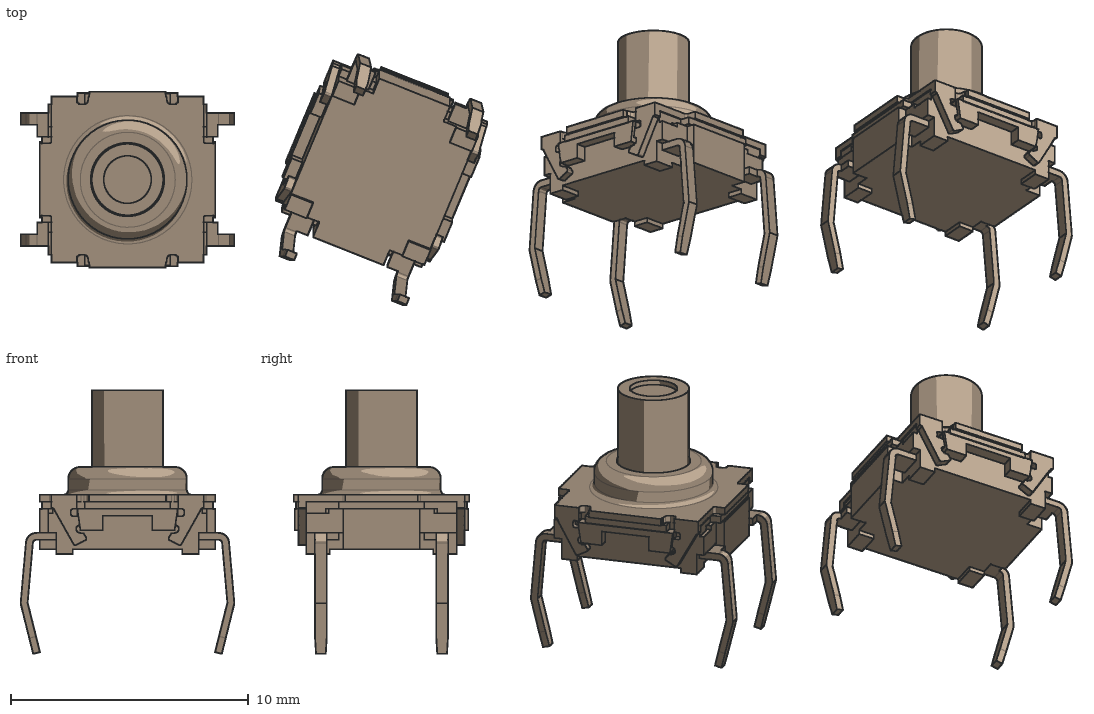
import cadquery as cq
import math


foot_bottom = -0.2
tip_bottom = -4.4
pin_bottom = 0.4
pin_top = 0.7
corner_ledge = 1.52
housing_top = 1.7
frame_top = 2.0
cover_top = 2.3
dome_top = 3.47
stem_top = 6.7

wall_x = 3.33
wall_y = 3.17
undercut_x = 3.0
neck_x = 3.15
side_reach = 3.7
side_half_width = 1.6
ledge_start_y = 2.22
ledge_gap = 0.13
ledge_gap_depth = 0.2
foot_length_x = 0.7
foot_length_y = 1.0

panel_y = 3.65
panel_bottom = 0.8
panel_top_half = 2.11
panel_bottom_half = 1.98
panel_slot_half = 1.05
panel_slot_top = 1.42

frame_reach = 3.6
frame_half_width = 1.8

cover_half = 3.7
cover_corner_x = 3.2
cover_corner_y = 3.5
cover_x_tab_half = 1.52
cover_y_tab_half = 1.6
tab_corner_radius = 0.1
selector_margin = 0.01
relief_outer_x = 2.13
relief_inner_x = 1.66
relief_radius = 0.17

clip_shoulder_z = 1.75
clip_shoulder = (3.1, 1.7)
clip_toe = (2.23, 0.15)
clip_tip = (1.69, 0.43)
clip_hook = (1.85, 0.67)
clip_edge_radius = 0.08
notch_depth = 0.27
notch_height = 0.3
hook_notch_radius = 0.16
hook_notch_x = 2.0
hook_notch_z = 0.86

dome_radius = 2.5
dome_flare = 0.2
dome_round = 0.5
stem_radius = 1.5
stem_gap_radius = 1.55
stem_gap_depth = 0.5
stem_recess_radius = 1.0
stem_recess_depth = 0.2

pin_thickness = pin_top - pin_bottom
pin_half_span = 4.5
knee_z = -2.27
upper_lean = math.radians(5)
lower_lean = math.radians(14)
pin_inner_y = 2.3
pin_outer_y = 2.8
pin_middle_y = (pin_inner_y + pin_outer_y) / 2
pin_root_inner_y = 1.8
pin_root_x = 3.8
bend_outer_radius = 0.45
bend_inner_radius = bend_outer_radius - pin_thickness
tip_length = 0.7
tip_side_taper = 0.04


def box(x0, x1, y0, y1, z0, z1):
    """Axis-aligned block between two corners."""
    return cq.Workplane("XY").box(x1 - x0, y1 - y0, z1 - z0, centered=False).translate((x0, y0, z0))


def centred_box(half_x, half_y, z0, z1):
    """Block centred on the Z axis."""
    return box(-half_x, half_x, -half_y, half_y, z0, z1)


def prism_y(points, y0, y1):
    """XZ outline extruded from y0 to y1."""
    return cq.Workplane("XZ", origin=(0, y0, 0)).polyline(points).close().extrude(y0 - y1)


def four_corners(shape):
    """Shape from the +X +Y corner repeated in all four corners."""
    pair = shape.union(shape.mirror("YZ"))
    return pair.union(pair.mirror("XZ"))


def make_corner_cut():
    """Material missing from the housing in one corner."""
    undercut = box(undercut_x, side_reach, side_half_width, wall_y, 0, pin_top)
    ledge = box(neck_x, wall_x, ledge_start_y, wall_y, corner_ledge, housing_top)
    gap = box(neck_x - ledge_gap_depth, neck_x, ledge_start_y, ledge_start_y + ledge_gap,
              corner_ledge, housing_top)
    return undercut.union(ledge).union(gap)


def make_panel():
    """Raised latch panel on the +Y wall, with a slot open at its lower edge."""
    right_half = [
        (panel_top_half, housing_top),
        (panel_bottom_half, panel_bottom),
        (panel_slot_half, panel_bottom),
        (panel_slot_half, panel_slot_top),
    ]
    left_half = [(-x, z) for x, z in reversed(right_half)]
    return prism_y(right_half + left_half, wall_y, panel_y)


def make_housing():
    body = centred_box(wall_x, wall_y, 0, housing_top)
    body = body.union(centred_box(side_reach, side_half_width, 0, housing_top))
    body = body.cut(four_corners(make_corner_cut()))
    foot = box(undercut_x - foot_length_x, undercut_x, wall_y - foot_length_y, wall_y,
              foot_bottom, pin_bottom)
    panel = make_panel()
    return body.union(four_corners(foot)).union(panel).union(panel.mirror("XZ"))


def make_frame():
    frame = centred_box(neck_x, wall_y, housing_top, frame_top)
    frame = frame.union(centred_box(frame_reach, frame_half_width, housing_top, frame_top))
    return frame.union(centred_box(frame_half_width, frame_reach, housing_top, frame_top))


def make_relief():
    """Rounded cut in the cover between a clip and the tab next to it."""
    return (
        cq.Workplane("XY", origin=(0, 0, frame_top))
        .moveTo(relief_outer_x, cover_half)
        .lineTo(relief_outer_x, wall_y + relief_radius)
        .radiusArc((relief_outer_x - relief_radius, wall_y), relief_radius)
        .lineTo(relief_inner_x + relief_radius, wall_y)
        .radiusArc((relief_inner_x, wall_y + relief_radius), relief_radius)
        .lineTo(cover_y_tab_half, cover_half)
        .close()
        .extrude(cover_top - frame_top)
    )


def make_clip():
    """Slanted clip that hangs from a cover corner over the housing wall."""
    outline = [
        (cover_corner_x, cover_top),
        (cover_corner_x, clip_shoulder_z),
        clip_shoulder,
        clip_toe,
        clip_tip,
        clip_hook,
        (panel_bottom_half, clip_hook[1]),
        (panel_bottom_half, panel_bottom),
        (panel_top_half, housing_top),
        (relief_outer_x, housing_top),
        (relief_outer_x, cover_top),
    ]
    clip = prism_y(outline, wall_y, cover_corner_y)
    for x, z in (clip_toe, clip_tip):
        corner = cq.selectors.NearestToPointSelector((x, (wall_y + cover_corner_y) / 2, z))
        clip = clip.edges("|Y").edges(corner).fillet(clip_edge_radius)
    notch = box(panel_top_half, panel_top_half + notch_depth, wall_y, cover_corner_y,
                housing_top - notch_height, housing_top)
    notch = notch.edges("|Y and >X").fillet(clip_edge_radius)
    hook_notch = (
        cq.Workplane("XZ", origin=(0, wall_y, 0))
        .center(hook_notch_x, hook_notch_z)
        .circle(hook_notch_radius)
        .extrude(wall_y - cover_corner_y)
    )
    return clip.cut(notch).cut(hook_notch)


def make_cover():
    x_tabs = centred_box(cover_half, cover_x_tab_half, frame_top, cover_top)
    y_tabs = centred_box(cover_y_tab_half, cover_half, frame_top, cover_top)
    plate = centred_box(cover_corner_x, cover_corner_y, frame_top, cover_top).union(x_tabs)
    inner_corner = cq.selectors.BoxSelector(
        (-cover_corner_x - selector_margin, -cover_x_tab_half - selector_margin, frame_top),
        (cover_corner_x + selector_margin, cover_x_tab_half + selector_margin, cover_top),
    )
    plate = plate.edges("|Z").edges(inner_corner).fillet(tab_corner_radius)
    plate = plate.union(y_tabs).cut(four_corners(make_relief()))
    return plate.union(four_corners(make_clip()))


def make_dome_and_stem():
    """Revolved rubber dome with a flared base, and the stem rising through it."""
    flare_radius = dome_radius + dome_flare
    gap_floor = dome_top - stem_gap_depth
    recess_floor = stem_top - stem_recess_depth
    profile = (
        cq.Workplane("XZ")
        .moveTo(0, frame_top)
        .lineTo(flare_radius, frame_top)
        .lineTo(flare_radius, cover_top)
        .radiusArc((dome_radius, cover_top + dome_flare), dome_flare)
        .lineTo(dome_radius, dome_top - dome_round)
        .radiusArc((dome_radius - dome_round, dome_top), -dome_round)
        .lineTo(stem_gap_radius, dome_top)
        .lineTo(stem_gap_radius, gap_floor)
        .lineTo(stem_radius, gap_floor)
        .lineTo(stem_radius, stem_top)
        .lineTo(stem_recess_radius, stem_top)
        .lineTo(stem_recess_radius, recess_floor)
        .lineTo(0, recess_floor)
        .close()
    )
    return profile.revolve(360, (0, 0, 0), (0, 1, 0))


def inner_corner_point(corner, normal_a, normal_b):
    """Point one pin thickness inside an outer corner, measured from both of its sides."""
    share = pin_thickness / (1 + normal_a[0] * normal_b[0] + normal_a[1] * normal_b[1])
    return (
        corner[0] + share * (normal_a[0] + normal_b[0]),
        corner[1] + share * (normal_a[1] + normal_b[1]),
    )


def make_tip_wedges(tip, inward):
    """Slivers that narrow the pin along the last stretch before its tip."""
    plane = cq.Plane(origin=(tip[0], 0, tip[1]), xDir=(0, 1, 0), normal=(inward[0], 0, inward[1]))
    wedges = cq.Workplane("XY")
    for side_y, taper in ((pin_inner_y, tip_side_taper), (pin_outer_y, -tip_side_taper)):
        points = [(side_y, 0), (side_y + taper, 0), (side_y, -tip_length)]
        wedges = wedges.union(cq.Workplane(plane).polyline(points).close().extrude(pin_thickness))
    return wedges


def make_pin():
    """Bent terminal in the +X +Y corner: wide root, bend, knee and narrowed tip."""
    root_inward = (0, -1)
    upper_inward = (-math.cos(upper_lean), -math.sin(upper_lean))
    lower_inward = (-math.cos(lower_lean), math.sin(lower_lean))

    bend = (pin_half_span - (pin_top - knee_z) * math.tan(upper_lean), pin_top)
    knee = (pin_half_span, knee_z)
    tip = (pin_half_span - (knee_z - tip_bottom) * math.tan(lower_lean), tip_bottom)
    inner_bend = inner_corner_point(bend, root_inward, upper_inward)
    inner_knee = inner_corner_point(knee, upper_inward, lower_inward)
    inner_tip = (tip[0] + pin_thickness * lower_inward[0], tip[1] + pin_thickness * lower_inward[1])

    outer_side = [(undercut_x, pin_top), bend, knee, tip]
    inner_side = [inner_tip, inner_knee, inner_bend, (undercut_x, pin_bottom)]
    pin = prism_y(outer_side + inner_side, pin_inner_y, pin_outer_y)
    for corner, radius in ((bend, bend_outer_radius), (inner_bend, bend_inner_radius)):
        nearest = cq.selectors.NearestToPointSelector((corner[0], pin_middle_y, corner[1]))
        pin = pin.edges("|Y").edges(nearest).fillet(radius)

    root = box(undercut_x, pin_root_x, pin_root_inner_y, pin_outer_y, pin_bottom, pin_top)
    return pin.cut(make_tip_wedges(tip, lower_inward)).union(root)


housing = make_housing().union(make_frame()).union(make_cover())
result = housing.union(make_dome_and_stem()).union(four_corners(make_pin()))